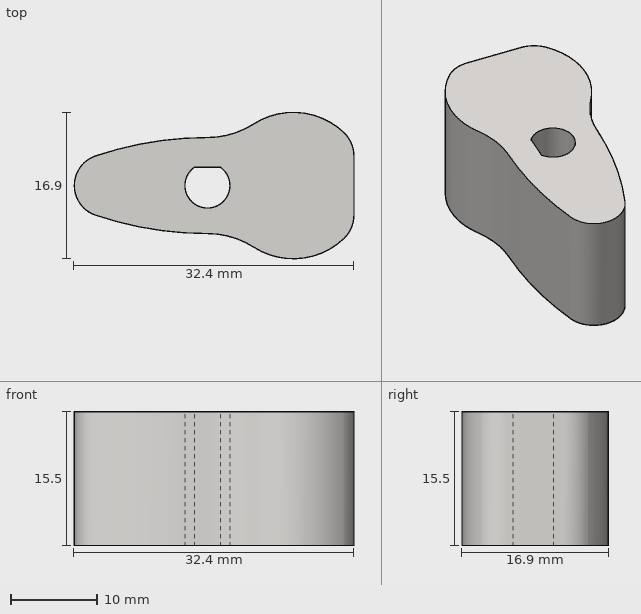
import cadquery as cq
import math

length = 32.37
width = 16.95
height = 15.5
nose_to_hole = 15.4
nose_radius = 3.63
waist_half_width = 5.57
lobe_x = 9.95
flat_half_width = 3.4
hole_radius = 2.6
hole_flat = 2.1

lobe_radius = width / 2
nose_x = nose_radius - nose_to_hole
end_x = length - nose_to_hole

neck_radius = (lobe_x**2 + waist_half_width**2 - lobe_radius**2) / (2 * (lobe_radius - waist_half_width))
neck_center = (0, waist_half_width + neck_radius)

flank_radius = (nose_x**2 + waist_half_width**2 - nose_radius**2) / (2 * (waist_half_width - nose_radius))
flank_center = (0, waist_half_width - flank_radius)

end_reach = end_x - lobe_x
corner_radius = (lobe_radius**2 - end_reach**2 - flat_half_width**2) / (2 * (lobe_radius - end_reach))
corner_center = (end_x - corner_radius, flat_half_width)


def toward(start, target, distance):
    """Point at a distance from start in the direction of target."""
    dx = target[0] - start[0]
    dy = target[1] - start[1]
    scale = distance / math.hypot(dx, dy)
    return (start[0] + dx * scale, start[1] + dy * scale)


def arc_middle(center, radius, first, last):
    """Point halfway along the short arc between two points on a circle."""
    chord_middle = ((first[0] + last[0]) / 2, (first[1] + last[1]) / 2)
    return toward(center, chord_middle, radius)


def mirrored(point):
    return (point[0], -point[1])


nose_end = toward(flank_center, (nose_x, 0), flank_radius)
waist = (0, waist_half_width)
lobe_start = toward((lobe_x, 0), neck_center, lobe_radius)
lobe_end = toward((lobe_x, 0), corner_center, lobe_radius)
corner_end = (end_x, flat_half_width)

upper_arcs = [
    (first, arc_middle(center, radius, first, last), last)
    for center, radius, first, last in [
        (flank_center, flank_radius, nose_end, waist),
        (neck_center, neck_radius, waist, lobe_start),
        ((lobe_x, 0), lobe_radius, lobe_start, lobe_end),
        (corner_center, corner_radius, lobe_end, corner_end),
    ]
]

outline = cq.Workplane("XY").moveTo(*nose_end)
for _, middle, last in upper_arcs:
    outline = outline.threePointArc(middle, last)
outline = outline.lineTo(*mirrored(corner_end))
for first, middle, _ in reversed(upper_arcs):
    outline = outline.threePointArc(mirrored(middle), mirrored(first))
outline = outline.threePointArc((-nose_to_hole, 0), nose_end).close()
body = outline.extrude(height)

hole_flat_half = math.sqrt(hole_radius**2 - hole_flat**2)
hole = (
    cq.Workplane("XY")
    .moveTo(-hole_flat_half, hole_flat)
    .threePointArc((0, -hole_radius), (hole_flat_half, hole_flat))
    .close()
    .extrude(height)
)

result = body.cut(hole)